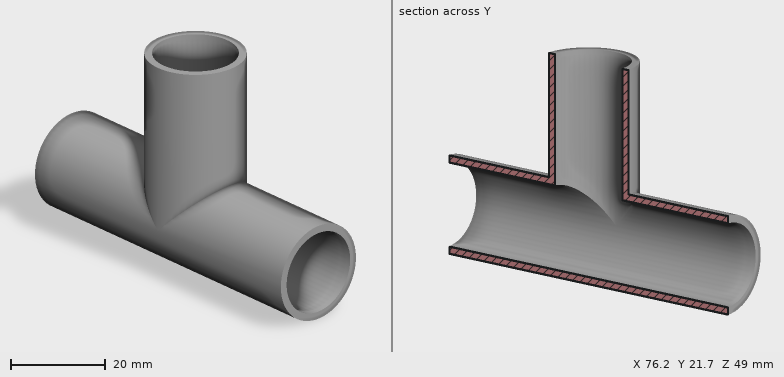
import cadquery as cq

run_length = 76.2
outer_diameter = 21.7
bore_diameter = 18.4
branch_reach = run_length / 2


def tee_of_cylinders(diameter):
    """Run and branch cylinders of one diameter, with their axes crossing at the origin."""
    run = cq.Workplane("YZ").circle(diameter / 2).extrude(run_length / 2, both=True)
    branch = cq.Workplane("XY").circle(diameter / 2).extrude(branch_reach)
    return run.union(branch)


result = tee_of_cylinders(outer_diameter).cut(tee_of_cylinders(bore_diameter))